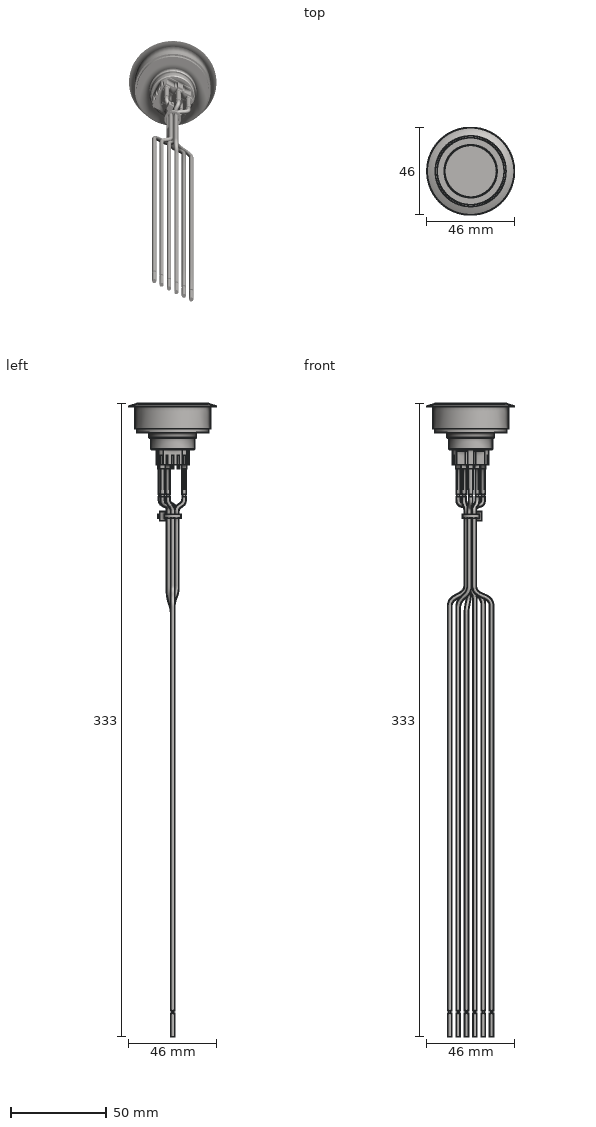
import cadquery as cq
import math

FLANGE_BOTTOM = -1.7
BODY_BOTTOM = -13.3
SKIRT_BOTTOM = -15.3
COLLAR_BOTTOM = -18.3
NECK_BOTTOM = -24.2
BLOCK_BOTTOM = -32.3
TERMINAL_BOTTOM = -34.3
TAB_BOTTOM = -45.0
SLEEVE_BOTTOM = -47.6
WIRE_TOP = -48.9
GATHER_TOP = -50.5
GATHER_BOTTOM = -56.5
FAN_TOP = -95.6
STRIP_TOP = -319.2
STRIP_BOTTOM = -320.6
TIP_BOTTOM = -333.0

FLANGE_DIA = 46.0
FLANGE_RIM = 0.3
CROWN_DIA = 37.2
CROWN_GROOVE_DIA = 35.2
LENS_DIA = 27.2
LENS_LINE_WIDTH = 0.3
FACE_GROOVE_DEPTH = 0.3
BODY_DIA = 39.9
SKIRT_DIA = 38.0
COLLAR_DIA = 25.0
NECK_DIA = 23.2
EDGE_CHAMFER = 0.5

BLOCK_DIA = 21.6
BLOCK_LENGTH_X = 19.2
RIB_SPAN_Y = 17.4
RIB_WIDTH = 3.0
PANEL_SPAN_Y = 15.6
PANEL_TOP = -25.2
SLOT_TOP = -27.2
POCKET_WIDTH = 4.6
POCKET_DEPTH = 0.4
POCKET_X = 5.1
SLOT_WIDTH = 1.0
SLOT_DEPTH = 1.0
SLOT_PITCH = 3.0
BLADE_LENGTH = 3.0
BLADE_X = 3.5

TERMINAL_SIZE = 2.8
TAB_WIDTH = 2.8
TAB_THICKNESS = 0.5
SLEEVE_DIA = 2.4
CRIMP_DIA = 1.75
WIRE_DIA = 2.2
CONDUCTOR_DIA = 1.1
BUNDLE_RADIUS = 2.3
OUTER_WIRES = 5
FAN_PITCH = 4.4

TIE_TOP = -58.2
TIE_HEIGHT = 2.0
TIE_RADIUS = 4.4
TIE_THICKNESS = 1.1
TIE_TAIL_Y = 7.8
TIE_HEAD_SIZE = 3.0
TIE_HEAD_HEIGHT = 5.0
TIE_HEAD_X = 4.4
TIE_HEAD_Y = 5.4


def cylinder(diameter, top, bottom, x=0.0, y=0.0):
    """Vertical cylinder between two heights."""
    return cq.Workplane("XY", origin=(x, y, bottom)).circle(diameter / 2).extrude(top - bottom)


def box(size_x, size_y, top, bottom, x=0.0, y=0.0):
    """Upright box centred on (x, y) between two heights."""
    return cq.Workplane("XY", origin=(x, y, bottom)).rect(size_x, size_y).extrude(top - bottom)


def face_groove(inner_dia, width):
    """Ring that cuts a shallow groove into the crown."""
    ring = cq.Workplane("XY").circle(inner_dia / 2 + width).circle(inner_dia / 2)
    return ring.extrude(-FACE_GROOVE_DEPTH)


def bundle_spot(index):
    """Place of an outer wire of the bundle; index 0 lies on the -X side."""
    angle = math.pi + index * 2 * math.pi / OUTER_WIRES
    return (BUNDLE_RADIUS * math.cos(angle), BUNDLE_RADIUS * math.sin(angle))


def make_head():
    """Turned button head: conical flange, body and stepped underside."""
    rim_top = FLANGE_BOTTOM + FLANGE_RIM
    crown_radius = CROWN_DIA / 2
    flange_radius = FLANGE_DIA / 2
    profile = (
        cq.Workplane("XZ")
        .lineTo(crown_radius, 0)
        .lineTo(flange_radius, rim_top)
        .lineTo(flange_radius, FLANGE_BOTTOM)
        .lineTo(BODY_DIA / 2, FLANGE_BOTTOM)
        .lineTo(BODY_DIA / 2, BODY_BOTTOM)
        .lineTo(SKIRT_DIA / 2, BODY_BOTTOM)
        .lineTo(SKIRT_DIA / 2, SKIRT_BOTTOM)
        .lineTo(COLLAR_DIA / 2, SKIRT_BOTTOM)
        .lineTo(COLLAR_DIA / 2, COLLAR_BOTTOM + EDGE_CHAMFER)
        .lineTo(COLLAR_DIA / 2 - EDGE_CHAMFER, COLLAR_BOTTOM)
        .lineTo(NECK_DIA / 2, COLLAR_BOTTOM)
        .lineTo(NECK_DIA / 2, NECK_BOTTOM + EDGE_CHAMFER)
        .lineTo(NECK_DIA / 2 - EDGE_CHAMFER, NECK_BOTTOM)
        .lineTo(0, NECK_BOTTOM)
        .close()
    )
    head = profile.revolve(360, (0, 0, 0), (0, 1, 0))
    head = head.cut(face_groove(CROWN_GROOVE_DIA, (CROWN_DIA - CROWN_GROOVE_DIA) / 2))
    return head.cut(face_groove(LENS_DIA, LENS_LINE_WIDTH))


def make_block():
    """Terminal block: flatted cylinder with middle ribs, pockets, slots and blades."""
    block = cylinder(BLOCK_DIA, NECK_BOTTOM, BLOCK_BOTTOM)
    block = block.intersect(box(BLOCK_LENGTH_X, RIB_SPAN_Y, NECK_BOTTOM, BLOCK_BOTTOM))
    panel_depth = (RIB_SPAN_Y - PANEL_SPAN_Y) / 2
    panel_length = (BLOCK_LENGTH_X - RIB_WIDTH) / 2
    for side_x in (-1, 1):
        for side_y in (-1, 1):
            panel_x = side_x * (RIB_WIDTH + panel_length) / 2
            panel_y = side_y * (PANEL_SPAN_Y + panel_depth) / 2
            block = block.cut(box(panel_length, panel_depth, PANEL_TOP, BLOCK_BOTTOM, panel_x, panel_y))
            pocket_y = side_y * (PANEL_SPAN_Y - POCKET_DEPTH) / 2
            pocket_x = side_x * POCKET_X
            block = block.cut(box(POCKET_WIDTH, POCKET_DEPTH, PANEL_TOP, BLOCK_BOTTOM, pocket_x, pocket_y))
        for step in (-2, -1, 0, 1, 2):
            slot_x = side_x * (BLOCK_LENGTH_X - SLOT_DEPTH) / 2
            slot_y = step * SLOT_PITCH
            block = block.cut(box(SLOT_DEPTH, SLOT_WIDTH, SLOT_TOP, BLOCK_BOTTOM, slot_x, slot_y))
        for blade_y in (0, -SLOT_PITCH):
            blade_x = side_x * BLADE_X
            block = block.union(box(BLADE_LENGTH, SLOT_WIDTH, SLOT_TOP, TERMINAL_BOTTOM, blade_x, blade_y))
    return block


def make_terminal(x, y):
    """Terminal root, flat tab facing the part axis, round sleeve and the bare crimp below it."""
    tab = box(TAB_THICKNESS, TAB_WIDTH, BLOCK_BOTTOM, TAB_BOTTOM, math.hypot(x, y))
    tab = tab.rotate((0, 0, 0), (0, 0, 1), math.degrees(math.atan2(y, x)))
    terminal = box(TERMINAL_SIZE, TERMINAL_SIZE, SLOT_TOP, TERMINAL_BOTTOM, x, y)
    terminal = terminal.union(cylinder(SLEEVE_DIA, BLOCK_BOTTOM, SLEEVE_BOTTOM, x, y))
    terminal = terminal.union(tab)
    return terminal.union(cylinder(CRIMP_DIA, TAB_BOTTOM, WIRE_TOP, x, y))


def make_wire(start, middle, fan_x, fan_top, fan_bottom):
    """Insulated wire from its terminal through the bundle to its stripped tip."""
    down = cq.Vector(0, 0, -1)
    corners = [
        cq.Vector(*start, WIRE_TOP),
        cq.Vector(*start, GATHER_TOP),
        cq.Vector(*middle, GATHER_BOTTOM),
        cq.Vector(*middle, fan_top),
        cq.Vector(fan_x, 0, fan_bottom),
        cq.Vector(fan_x, 0, STRIP_TOP),
    ]
    edges = [
        cq.Edge.makeLine(corners[0], corners[1]),
        cq.Edge.makeSpline(corners[1:3], tangents=[down, down]),
        cq.Edge.makeLine(corners[2], corners[3]),
        cq.Edge.makeSpline(corners[3:5], tangents=[down, down]),
        cq.Edge.makeLine(corners[4], corners[5]),
    ]
    path = cq.Workplane(cq.Wire.assembleEdges(edges))
    wire = cq.Workplane("XY", origin=(*start, WIRE_TOP)).circle(WIRE_DIA / 2).sweep(path)
    wire = wire.union(cylinder(CONDUCTOR_DIA, STRIP_TOP, STRIP_BOTTOM, fan_x))
    return wire.union(cylinder(WIRE_DIA, STRIP_BOTTOM, TIP_BOTTOM, fan_x))


def make_tie():
    """Cable tie: strap loop around the bundle, straight tail and square head."""
    tie_bottom = TIE_TOP - TIE_HEIGHT
    loop = cylinder(2 * TIE_RADIUS, TIE_TOP, tie_bottom)
    loop = loop.cut(cylinder(2 * (TIE_RADIUS - TIE_THICKNESS), TIE_TOP, tie_bottom))
    tail_x = TIE_RADIUS - TIE_THICKNESS / 2
    tail = box(TIE_THICKNESS, TIE_TAIL_Y, TIE_TOP, tie_bottom, tail_x, TIE_TAIL_Y / 2)
    head_top = TIE_TOP - TIE_HEIGHT / 2 + TIE_HEAD_HEIGHT / 2
    head_bottom = head_top - TIE_HEAD_HEIGHT
    head = box(TIE_HEAD_SIZE, TIE_HEAD_SIZE, head_top, head_bottom, TIE_HEAD_X, TIE_HEAD_Y)
    return loop.union(tail).union(head)


WIRES = [
    ((-3.5, 2.5), bundle_spot(0), FAN_TOP, -106.7),
    ((0.0, -6.0), bundle_spot(1), FAN_TOP, -107.7),
    ((-6.5, 5.3), bundle_spot(4), -98.5, -110.7),
    ((0.0, 6.4), (0.0, 0.0), FAN_TOP, -102.5),
    ((6.5, 5.3), bundle_spot(3), FAN_TOP, -105.7),
    ((3.5, 2.5), bundle_spot(2), FAN_TOP, -106.7),
]

result = make_head().union(make_block())
for number, (terminal_spot, bundle_place, bend_top, bend_bottom) in enumerate(WIRES):
    fan_x = (number - (len(WIRES) - 1) / 2) * FAN_PITCH
    result = result.union(make_terminal(*terminal_spot))
    result = result.union(make_wire(terminal_spot, bundle_place, fan_x, bend_top, bend_bottom))
result = result.union(make_tie()).solids()